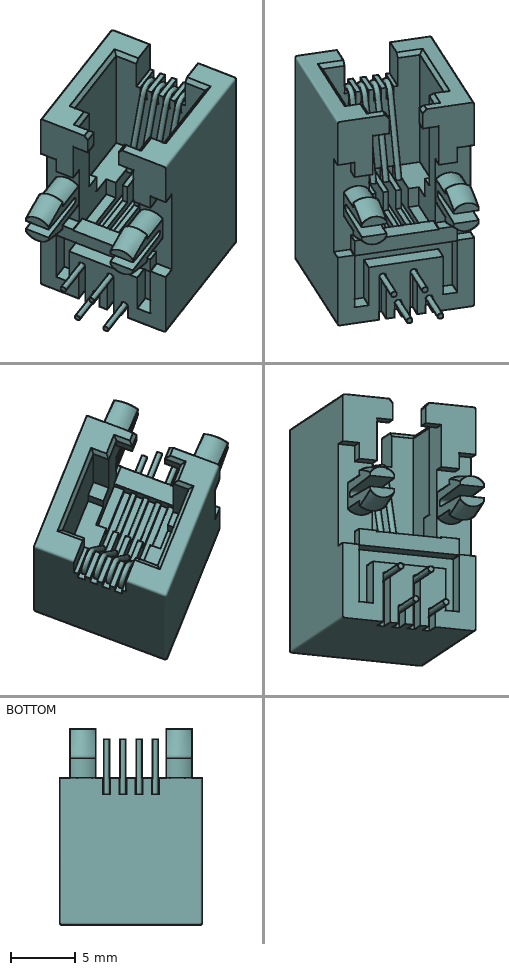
import cadquery as cq
import math


CONTACT_COUNT = 4

WIDTH = 11.1
DEPTH = 11.43
HEIGHT = 18.0
EDGE_RADIUS = 0.2

CAVITY_HALF = 3.96
CAVITY_BACK_Y = 9.23
SHOULDER_Y = 2.63
WINDOW_HALF = 2.68
LATCH_WALL = 0.99
MOUTH_HALF = 1.37
FLOOR_Z = 8.19
WINDOW_TOP_Z = 16.33
MOUTH_FLARE = 0.3
MOUTH_FLARE_DEPTH = 0.35
FLOOR_PAD_TOP_Z = 9.74
FLOOR_PAD_BACK_Y = 3.78

SILL_Z = 7.22
SILL_DEPTH = 1.5
SUNKEN_FLOOR_Z = 6.55
SUNKEN_FLOOR_BACK_Y = 5.35

RELIEF_BOTTOM_Z = 6.03
RELIEF_TOP_Z = 14.2
RELIEF_DEPTH = LATCH_WALL
PAD_HALF = 4.18
LOWER_PAD_TOP_Z = 7.29
UPPER_PAD_BOTTOM_Z = 12.92

POCKET_BOTTOM_Z = 1.42
POCKET_TOP_Z = 5.98
POCKET_DEPTH = 1.3
PIN_BLOCK_HALF = 3.02
PIN_BLOCK_TOP_Z = 4.77

CONTACT_PITCH = 1.03
SLOT_WIDTH = 0.6
FLOOR_SLOT_BOTTOM_Z = 5.98
FLOOR_SLOT_BACK_Y = CAVITY_BACK_Y + MOUTH_FLARE
COMB_HALF = 2.16
COMB_TOP_Z = 15.2
COMB_SLOT_BOTTOM_Z = 14.2
WIRE_RADIUS = 0.23
WIRE_TIP_Y = 6.97
WIRE_LEG_Y = 10.82
WIRE_BEND_RADIUS = 0.85
WIRE_PEAK_Z = 15.25
WIRE_ROOT = 0.18

PIN_PITCH = 1.26
PIN_RADIUS = 0.23
PIN_LENGTH = 3.0
PIN_ROOT = 0.18
PIN_UPPER_Z = 3.76
PIN_LOWER_Z = 1.25
GROOVE_RADIUS = 0.29
GROOVE_DEPTH = 1.26

PEG_X = 3.75
PEG_Z = 10.12
PEG_HALF_WIDTH = 1.0
PEG_RADIUS = 1.44
PEG_HEAD_RADIUS = 1.73
PEG_TIP_RADIUS = 1.22
PEG_HEAD_Y = -1.51
PEG_CONE_Y = -1.73
PEG_TIP_Y = -3.82
PEG_ROOT = 0.18
SLIT_END_Y = 0.54
SLIT_RADIUS = 0.29
SLIT_TIP_HALF = 0.43


def block(x0, x1, y0, y1, z0, z1):
    return cq.Workplane("XY").box(x1 - x0, y1 - y0, z1 - z0, centered=False).translate((x0, y0, z0))


def centred_block(half_x, y0, y1, z0, z1):
    return block(-half_x, half_x, y0, y1, z0, z1)


def row_xs(pitch):
    """X of each contact in a row centred on the part."""
    return [pitch * (i - (CONTACT_COUNT - 1) / 2) for i in range(CONTACT_COUNT)]


def housing_block():
    body = centred_block(WIDTH / 2, 0, DEPTH, 0, HEIGHT)
    return body.edges("|Y or >Y").fillet(EDGE_RADIUS)


def cavity_outline(growth=0.0):
    """Stepped plug outline, widened all round; its narrow end runs past the board-side face."""
    open_end_y = -LATCH_WALL
    half = [
        (MOUTH_HALF + growth, open_end_y),
        (MOUTH_HALF + growth, LATCH_WALL - growth),
        (WINDOW_HALF + growth, LATCH_WALL - growth),
        (WINDOW_HALF + growth, SHOULDER_Y - growth),
        (CAVITY_HALF + growth, SHOULDER_Y - growth),
        (CAVITY_HALF + growth, CAVITY_BACK_Y + growth),
    ]
    mirrored = [(-x, y) for x, y in reversed(half)]
    return cq.Sketch().polygon(half + mirrored + half[:1])


def plug_cavity():
    cavity_base = cq.Workplane("XY", origin=(0, 0, FLOOR_Z))
    cavity = cavity_base.placeSketch(cavity_outline()).extrude(HEIGHT - FLOOR_Z)
    rim = cavity_outline(MOUTH_FLARE).moved(cq.Location(cq.Vector(0, 0, MOUTH_FLARE_DEPTH)))
    flare_base = cq.Workplane("XY", origin=(0, 0, HEIGHT - MOUTH_FLARE_DEPTH))
    flare = flare_base.placeSketch(cavity_outline(), rim).loft()
    for side in (-1, 1):
        inner, outer = sorted((side * WINDOW_HALF, side * CAVITY_HALF))
        cavity = cavity.cut(block(inner, outer, SHOULDER_Y, FLOOR_PAD_BACK_Y, FLOOR_Z, FLOOR_PAD_TOP_Z))
    window = centred_block(WINDOW_HALF, 0, SHOULDER_Y, SILL_Z, WINDOW_TOP_Z)
    sunken_floor = centred_block(WINDOW_HALF, SILL_DEPTH, SUNKEN_FLOOR_BACK_Y, SUNKEN_FLOOR_Z, FLOOR_Z)
    return cavity.union(flare).union(window).union(sunken_floor)


def board_relief():
    band = centred_block(WIDTH / 2, 0, RELIEF_DEPTH, RELIEF_BOTTOM_Z, RELIEF_TOP_Z)
    lower_pad = centred_block(PAD_HALF, 0, RELIEF_DEPTH, RELIEF_BOTTOM_Z, LOWER_PAD_TOP_Z)
    upper_pad = centred_block(PAD_HALF, 0, RELIEF_DEPTH, UPPER_PAD_BOTTOM_Z, RELIEF_TOP_Z)
    return band.cut(lower_pad).cut(upper_pad)


def pin_block_pocket():
    pocket = centred_block(PAD_HALF, 0, POCKET_DEPTH, POCKET_BOTTOM_Z, POCKET_TOP_Z)
    return pocket.cut(centred_block(PIN_BLOCK_HALF, 0, POCKET_DEPTH, POCKET_BOTTOM_Z, PIN_BLOCK_TOP_Z))


def contact_slots():
    """Notch in the back wall, the comb slots below it and the slots in the floor."""
    slots = centred_block(COMB_HALF, CAVITY_BACK_Y, DEPTH, COMB_TOP_Z, HEIGHT)
    for x in row_xs(CONTACT_PITCH):
        left = x - SLOT_WIDTH / 2
        right = x + SLOT_WIDTH / 2
        slots = slots.union(block(left, right, CAVITY_BACK_Y, DEPTH, COMB_SLOT_BOTTOM_Z, COMB_TOP_Z))
        slots = slots.union(block(left, right, SILL_DEPTH, FLOOR_SLOT_BACK_Y, FLOOR_SLOT_BOTTOM_Z, FLOOR_Z))
    return slots


def contact_wire(x):
    """Wire rooted in a comb slot, bent over its top and slanting down to the floor."""
    bend_y = WIRE_LEG_Y - WIRE_BEND_RADIUS
    bend_z = WIRE_PEAK_Z - WIRE_BEND_RADIUS
    to_tip_y = WIRE_TIP_Y - bend_y
    to_tip_z = FLOOR_Z - bend_z
    tip_angle = math.atan2(to_tip_z, to_tip_y)
    tangent_angle = tip_angle - math.acos(WIRE_BEND_RADIUS / math.hypot(to_tip_y, to_tip_z))

    def on_bend(angle):
        return (bend_y + WIRE_BEND_RADIUS * math.cos(angle), bend_z + WIRE_BEND_RADIUS * math.sin(angle))

    path = (
        cq.Workplane("YZ", origin=(x, 0, 0))
        .moveTo(WIRE_LEG_Y, COMB_SLOT_BOTTOM_Z - WIRE_ROOT)
        .lineTo(WIRE_LEG_Y, bend_z)
        .threePointArc(on_bend(math.pi / 2), on_bend(tangent_angle))
        .lineTo(WIRE_TIP_Y, FLOOR_Z)
    )
    start = cq.Workplane("XY", origin=(x, WIRE_LEG_Y, COMB_SLOT_BOTTOM_Z - WIRE_ROOT))
    return start.circle(WIRE_RADIUS).sweep(path)


def pin_places():
    """Pins alternate between the upper and the lower row."""
    for i, x in enumerate(row_xs(PIN_PITCH)):
        row_z = PIN_UPPER_Z if i % 2 == 0 else PIN_LOWER_Z
        yield x, row_z


def cylinder_along_y(x, z, radius, y_start, y_end):
    return cq.Workplane("XZ", origin=(x, y_end, z)).circle(radius).extrude(y_end - y_start)


def pin_groove(x, z):
    round_top = cylinder_along_y(x, z, GROOVE_RADIUS, 0, GROOVE_DEPTH)
    return round_top.union(block(x - GROOVE_RADIUS, x + GROOVE_RADIUS, 0, GROOVE_DEPTH, 0, z))


def solder_pin(x, z):
    return cylinder_along_y(x, z, PIN_RADIUS, -PIN_LENGTH, GROOVE_DEPTH + PIN_ROOT)


def snap_peg(x):
    root_y = RELIEF_DEPTH + PEG_ROOT
    turned = (
        cq.Workplane("XY")
        .polyline(
            [
                (0, root_y),
                (PEG_RADIUS, root_y),
                (PEG_RADIUS, PEG_HEAD_Y),
                (PEG_HEAD_RADIUS, PEG_HEAD_Y),
                (PEG_HEAD_RADIUS, PEG_CONE_Y),
                (PEG_TIP_RADIUS, PEG_TIP_Y),
                (0, PEG_TIP_Y),
            ]
        )
        .close()
        .revolve(360, (0, 0, 0), (0, 1, 0))
    )
    flats = centred_block(PEG_HALF_WIDTH, PEG_TIP_Y, root_y, -PEG_HEAD_RADIUS, PEG_HEAD_RADIUS)
    slit = (
        cq.Workplane("YZ")
        .moveTo(PEG_TIP_Y, SLIT_TIP_HALF)
        .lineTo(SLIT_END_Y - SLIT_RADIUS, SLIT_RADIUS)
        .threePointArc((SLIT_END_Y, 0), (SLIT_END_Y - SLIT_RADIUS, -SLIT_RADIUS))
        .lineTo(PEG_TIP_Y, -SLIT_TIP_HALF)
        .close()
        .extrude(PEG_HALF_WIDTH, both=True)
    )
    return turned.intersect(flats).cut(slit).translate((x, 0, PEG_Z))


result = (
    housing_block()
    .cut(plug_cavity())
    .cut(board_relief())
    .cut(pin_block_pocket())
    .cut(contact_slots())
)
for pin_x, pin_z in pin_places():
    result = result.cut(pin_groove(pin_x, pin_z)).union(solder_pin(pin_x, pin_z))
for contact_x in row_xs(CONTACT_PITCH):
    result = result.union(contact_wire(contact_x))
for peg_x in (-PEG_X, PEG_X):
    result = result.union(snap_peg(peg_x))